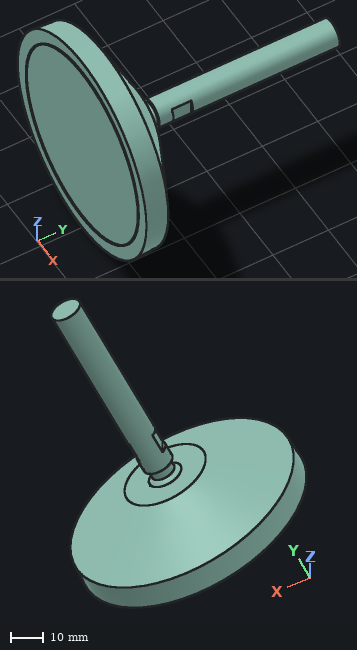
import cadquery as cq
import math

overall_length = 90.0

foot_diameter = 78.0
foot_top_diameter = 28.0
foot_height = 20.0
rim_height = 8.2
rim_draft = 3.0
rim_top_radius = foot_diameter / 2 - rim_height * math.tan(math.radians(rim_draft))

groove_outer_diameter = 68.0
groove_inner_diameter = 67.5
groove_depth = 0.25

rod_radius = 10.0 / 2
rod_start = 25.0
neck_radius = 7.8 / 2
ball_radius = 15.0 / 2
ball_center = 15.0
neck_start = ball_center + math.sqrt(ball_radius**2 - neck_radius**2)

flats_width = 8.0
flats_start = 30.0
flats_length = 7.0


def revolve_about_y(profile):
    return profile.revolve(360, (0, 0, 0), (0, 1, 0))


def ring_groove():
    """Ring that is cut into the underside of the foot."""
    return (
        cq.Workplane("XZ")
        .circle(groove_outer_diameter / 2)
        .circle(groove_inner_diameter / 2)
        .extrude(-groove_depth)
    )


def ball_socket():
    return cq.Workplane("XY").sphere(ball_radius).translate((0, ball_center, 0))


def make_foot():
    outline = [
        (0, 0),
        (foot_diameter / 2, 0),
        (rim_top_radius, rim_height),
        (foot_top_diameter / 2, foot_height),
        (0, foot_height),
    ]
    blank = revolve_about_y(cq.Workplane("XY").polyline(outline).close())
    return blank.cut(ring_groove()).cut(ball_socket())


def wrench_flat(side):
    """Block that trims one flat; side is -1 or +1 along X."""
    block_size = 2 * rod_radius
    block = cq.Workplane("XY").box(block_size, flats_length, block_size)
    x_center = side * (flats_width + block_size) / 2
    return block.translate((x_center, flats_start + flats_length / 2, 0))


def make_spindle():
    outline = (
        cq.Workplane("XY")
        .moveTo(0, ball_center - ball_radius)
        .threePointArc((ball_radius, ball_center), (neck_radius, neck_start))
        .lineTo(neck_radius, rod_start)
        .lineTo(rod_radius, rod_start)
        .lineTo(rod_radius, overall_length)
        .lineTo(0, overall_length)
        .close()
    )
    spindle = revolve_about_y(outline)
    for side in (-1, 1):
        spindle = spindle.cut(wrench_flat(side))
    return spindle


foot = make_foot().solids()
spindle = make_spindle().solids()
result = cq.Compound.makeCompound([foot.val(), spindle.val()])